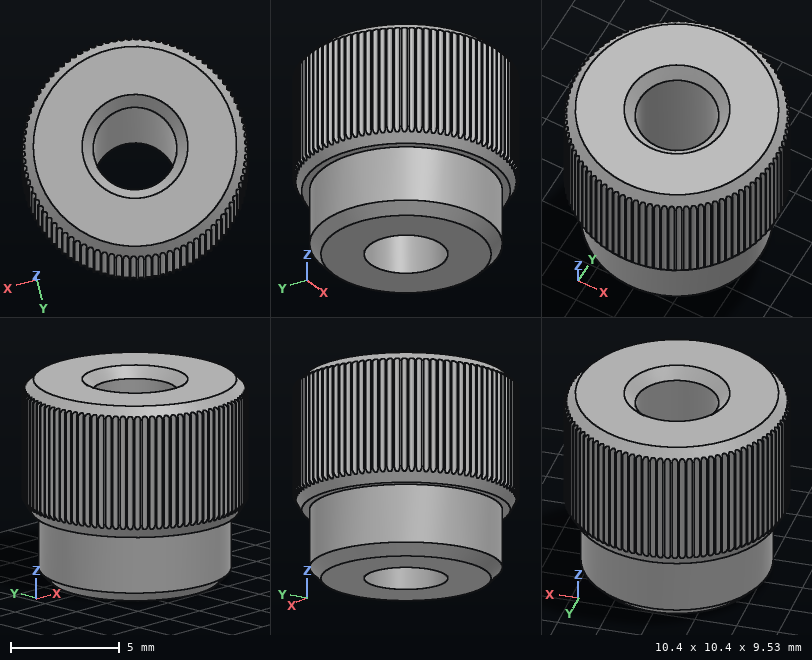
import cadquery as cq

total_height = 9.53
head_radius = 5.2
head_height = 6.25
neck_radius = 4.45
neck_height = total_height - head_height

head_top_chamfer = 0.52
head_bottom_chamfer_width = 0.4
head_bottom_chamfer_length = 0.68
neck_chamfer = 0.52

bore_radius = 1.93
countersink_radius = 2.44
countersink_depth = countersink_radius - bore_radius

groove_count = 96
groove_diameter = 0.26


def turned_body():
    """Hollow knob revolved from its half section (radius, height)."""
    section = [
        (bore_radius, 0),
        (neck_radius - neck_chamfer, 0),
        (neck_radius, neck_chamfer),
        (neck_radius, neck_height),
        (head_radius - head_bottom_chamfer_width, neck_height),
        (head_radius, neck_height + head_bottom_chamfer_length),
        (head_radius, total_height - head_top_chamfer),
        (head_radius - head_top_chamfer, total_height),
        (countersink_radius, total_height),
        (bore_radius, total_height - countersink_depth),
    ]
    return cq.Workplane("XZ").polyline(section).close().revolve(360, (0, 0), (0, 1))


def knurl_grooves():
    """Axial round cutters centred on the head's outer surface, the first one on +X."""
    return (
        cq.Workplane("XY")
        .workplane(offset=neck_height)
        .polarArray(head_radius, 0, 360, groove_count)
        .circle(groove_diameter / 2)
        .extrude(head_height)
    )


result = turned_body().cut(knurl_grooves())